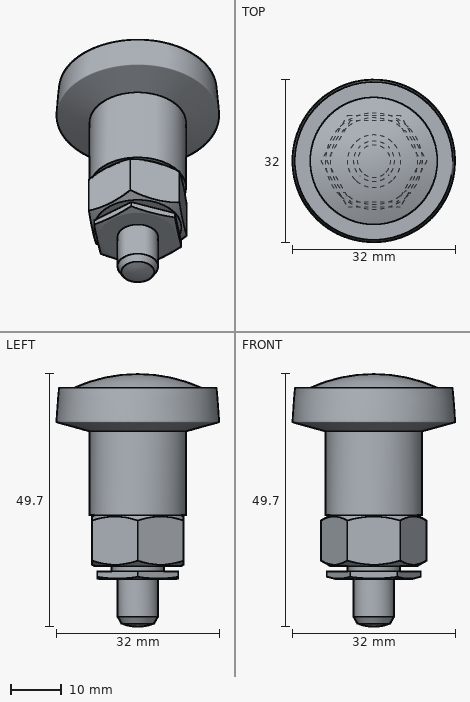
import cadquery as cq
import math


pin_dome_height = 0.65
pin_cone_top = 2.0
nut_bottom = 9.4
nut_thickness = 1.5
body_bottom = 11.95
body_height = 10.0
knob_bottom = 38.4
knob_rim_bottom = 40.2
knob_rim_top = 40.65
knob_top = 47.0
total_height = 49.7

pin_diameter = 8.0
pin_cone_half_angle = 30.0
neck_diameter = 10.4

hex_sides = 6
nut_across_flats = 16.0
body_across_flats = 18.0
nut_chamfer_angle = 15.0
body_chamfer_angle = 30.0
chamfer_circle_ratio = 0.95

sleeve_diameter = 19.0
knob_diameter = 32.0
knob_top_diameter = 31.0
knob_side_bulge = 0.03
knob_top_fillet = 0.2
knob_rim_fillet = 0.2
cap_diameter = 25.0

nut_top = nut_bottom + nut_thickness
body_top = body_bottom + body_height


def cylinder(diameter, bottom, top):
    """Cylinder on the Z axis between two heights."""
    return cq.Workplane("XY").workplane(offset=bottom).circle(diameter / 2).extrude(top - bottom)


def hexagon(across_flats, bottom, top, chamfer_angle, chamfer_top):
    """Hexagonal prism with conically turned corners below and, optionally, above."""
    corner_radius = across_flats / 2 / math.cos(math.pi / hex_sides)
    face_radius = across_flats * chamfer_circle_ratio / 2
    drop = (corner_radius - face_radius) * math.tan(math.radians(chamfer_angle))

    envelope = cq.Workplane("XZ").moveTo(0, bottom).lineTo(face_radius, bottom)
    envelope = envelope.lineTo(corner_radius, bottom + drop)
    if chamfer_top:
        envelope = envelope.lineTo(corner_radius, top - drop).lineTo(face_radius, top)
    else:
        envelope = envelope.lineTo(corner_radius, top)
    envelope = envelope.lineTo(0, top).close().revolve(360, (0, 0), (0, 1))

    prism = cq.Workplane("XY").workplane(offset=bottom).polygon(hex_sides, 2 * corner_radius)
    return prism.extrude(top - bottom).intersect(envelope)


def spherical_cap(base_diameter, base, apex):
    """Cap with its circular base at one height and its apex at another."""
    base_radius = base_diameter / 2
    height = abs(apex - base)
    outward = 1 if apex > base else -1
    sphere_radius = (base_radius**2 + height**2) / (2 * height)
    half_angle = math.asin(base_radius / sphere_radius) / 2
    middle_radius = sphere_radius * math.sin(half_angle)
    middle_height = apex - outward * sphere_radius * (1 - math.cos(half_angle))
    profile = (
        cq.Workplane("XZ")
        .moveTo(0, base)
        .lineTo(base_radius, base)
        .threePointArc((middle_radius, middle_height), (0, apex))
        .close()
    )
    return profile.revolve(360, (0, 0), (0, 1))


def pin():
    """Round pin with a conical lead-in and a domed tip."""
    cone_height = pin_cone_top - pin_dome_height
    tip_diameter = pin_diameter - 2 * cone_height * math.tan(math.radians(pin_cone_half_angle))
    shank = cylinder(pin_diameter, pin_cone_top, body_top)
    cone = (
        cq.Workplane("XY")
        .workplane(offset=pin_dome_height)
        .circle(tip_diameter / 2)
        .workplane(offset=cone_height)
        .circle(pin_diameter / 2)
        .loft(ruled=True)
    )
    return shank.union(cone).union(spherical_cap(tip_diameter, pin_dome_height, 0))


def knob():
    """Knob with a conical underside, a cylindrical rim, a bulged tapering side and a domed cap."""
    top_radius = knob_top_diameter / 2
    rim_radius = knob_diameter / 2
    side_middle = ((top_radius + rim_radius) / 2 + knob_side_bulge, (knob_top + knob_rim_top) / 2)
    profile = (
        cq.Workplane("XZ")
        .moveTo(0, knob_bottom)
        .lineTo(sleeve_diameter / 2, knob_bottom)
        .lineTo(rim_radius, knob_rim_bottom)
        .lineTo(rim_radius, knob_rim_top)
        .threePointArc(side_middle, (top_radius, knob_top))
        .lineTo(0, knob_top)
        .close()
    )
    head = profile.revolve(360, (0, 0), (0, 1))
    lower_rim = cq.selectors.NearestToPointSelector((0, 0, knob_rim_bottom))
    head = head.edges("%CIRCLE").edges(lower_rim).fillet(knob_rim_fillet)
    head = head.faces(">Z").edges().fillet(knob_top_fillet)
    return head.union(spherical_cap(cap_diameter, knob_top, total_height))


result = (
    pin()
    .union(cylinder(neck_diameter, nut_bottom, body_bottom))
    .union(hexagon(nut_across_flats, nut_bottom, nut_top, nut_chamfer_angle, chamfer_top=False))
    .union(hexagon(body_across_flats, body_bottom, body_top, body_chamfer_angle, chamfer_top=True))
    .union(cylinder(sleeve_diameter, body_top, knob_bottom))
    .union(knob())
)